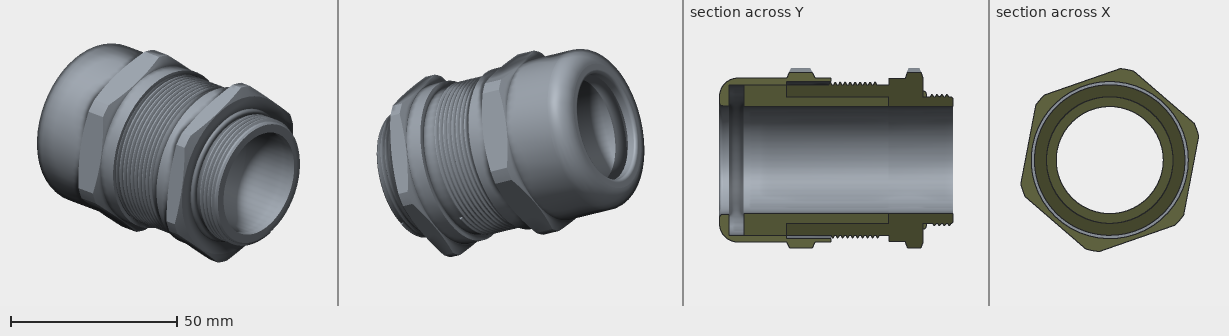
import cadquery as cq
import math


total_length = 70.35
bore_radius = 32.1 / 2

hex_across_flats = 50.0
hex_corner_radius = 27.8
hex_chamfer_base_radius = 24.75
hex_corner_tilt = 10.8

cap_radius = 49.5 / 2
cap_length = 33.7
cap_edge_radius = 5.6
cap_hex_start = 20.25
cap_hex_end = 28.85
cap_hex_chamfer = 1.4
lip_bore_radius = 32.6 / 2
lip_edge_radius = 1.05
lip_length = 3.0
cavity_radius = 45.15 / 2

insert_start = 7.3
insert_head_end = cap_hex_start
sleeve_radius = 38.3 / 2
sleeve_end = 51.0

thread_root_width = 1.05
thread_crest_width = 0.3
thread_embed = 0.2

cap_thread_core_radius = 45.45 / 2
cap_thread_crest_radius = 47.0 / 2
cap_thread_clearance = 0.1
cap_thread_start = 33.0
cap_thread_turns = 9.8
cap_thread_length = 14.7
thread_pitch = cap_thread_length / cap_thread_turns

collar_radius = 49.25 / 2
collar_start = sleeve_end
body_hex_start = 55.9
body_hex_end = 61.35
body_hex_chamfer = 1.05

entry_core_radius = 38.3 / 2
entry_crest_radius = 39.7 / 2
entry_thread_start = 63.6
entry_thread_turns = 3.8
entry_chamfer = 0.5

gasket_radius = 41.7 / 2
gasket_thickness = 1.0


def cylinder(start, end, radius):
    """Solid cylinder along X from start to end."""
    return cq.Workplane("YZ", origin=(start, 0, 0)).circle(radius).extrude(end - start)


def chamfered_hexagon(start, end, chamfer):
    """Hexagonal prism along X with turned corners and conical chamfers on both ends."""
    prism = (
        cq.Workplane("YZ", origin=(start, 0, 0))
        .polygon(6, hex_across_flats, circumscribed=True)
        .extrude(end - start)
        .rotate((0, 0, 0), (1, 0, 0), -hex_corner_tilt)
    )
    turned_profile = [
        (start, 0),
        (start, hex_chamfer_base_radius),
        (start + chamfer, hex_corner_radius),
        (end - chamfer, hex_corner_radius),
        (end, hex_chamfer_base_radius),
        (end, 0),
    ]
    turned = cq.Workplane("XY").polyline(turned_profile).close().revolve(360, (0, 0, 0), (1, 0, 0))
    return prism.intersect(turned)


def thread_ridge(start, turns, core_radius, crest_radius):
    """Right-handed helical ridge around X; its centre line starts on the +Y side."""
    root_radius = core_radius - thread_embed
    flank_slope = (thread_root_width - thread_crest_width) / 2 / (crest_radius - core_radius)
    root_half_width = thread_root_width / 2 + flank_slope * thread_embed
    crest_half_width = thread_crest_width / 2
    helix = cq.Wire.makeHelix(thread_pitch, thread_pitch * turns, root_radius)
    profile = [
        (root_radius, -root_half_width),
        (crest_radius, -crest_half_width),
        (crest_radius, crest_half_width),
        (root_radius, root_half_width),
    ]
    ridge = cq.Workplane("XZ").polyline(profile).close().sweep(cq.Workplane(helix), isFrenet=True)
    return ridge.rotate((0, 0, 0), (1, 1, 1), 120).translate((start, 0, 0))


def make_cap_nut():
    """Domed nut with a hexagon and a rounded lip at its mouth."""
    shell = cylinder(0, cap_length, cap_radius).faces("<X").edges().fillet(cap_edge_radius)
    nut = shell.union(chamfered_hexagon(cap_hex_start, cap_hex_end, cap_hex_chamfer))
    nut = nut.cut(cylinder(0, lip_length, lip_bore_radius))
    nut = nut.faces("<X").edges(cq.selectors.RadiusNthSelector(0)).fillet(lip_edge_radius)
    cavity = cylinder(lip_length, insert_head_end, cavity_radius)
    thread_bore = cylinder(insert_head_end, cap_length, cap_thread_crest_radius + cap_thread_clearance)
    return nut.cut(cavity).cut(thread_bore)


def make_insert():
    """Clamping insert: a head in the cap cavity and a sleeve inside the body."""
    head = cylinder(insert_start, insert_head_end, cavity_radius)
    sleeve = cylinder(insert_head_end, sleeve_end, sleeve_radius)
    return head.union(sleeve).cut(cylinder(insert_start, sleeve_end, bore_radius))


def make_body():
    """Gland body: two threaded ends with a collar and hexagon between them."""
    cap_end = cylinder(insert_head_end, collar_start, cap_thread_core_radius)
    collar = cylinder(collar_start, body_hex_start, collar_radius)
    hexagon = chamfered_hexagon(body_hex_start, body_hex_end, body_hex_chamfer)
    entry_end = cylinder(body_hex_end, total_length, entry_core_radius)
    entry_end = entry_end.faces(">X").edges().chamfer(entry_chamfer)
    cap_thread = thread_ridge(
        cap_thread_start, cap_thread_turns, cap_thread_core_radius, cap_thread_crest_radius
    )
    entry_thread = thread_ridge(
        entry_thread_start, entry_thread_turns, entry_core_radius, entry_crest_radius
    )
    sleeve_recess = cylinder(insert_head_end, sleeve_end, sleeve_radius)
    through_bore = cylinder(collar_start, total_length, bore_radius)
    cap_end = cap_end.cut(sleeve_recess).union(cap_thread)
    entry_end = entry_end.union(entry_thread)
    return cap_end.union(collar).union(hexagon).union(entry_end).cut(through_bore)


def make_gasket():
    """Ring against the hexagon with a quarter-round outer surface."""
    gasket_end = body_hex_end + gasket_thickness
    flat_radius = gasket_radius - gasket_thickness
    arc_offset = gasket_thickness * math.sin(math.radians(45))
    return (
        cq.Workplane("XY")
        .moveTo(body_hex_end, entry_core_radius)
        .lineTo(body_hex_end, gasket_radius)
        .threePointArc((body_hex_end + arc_offset, flat_radius + arc_offset), (gasket_end, flat_radius))
        .lineTo(gasket_end, entry_core_radius)
        .close()
        .revolve(360, (0, 0, 0), (1, 0, 0))
    )


cap_nut = make_cap_nut()
insert = make_insert()
body = make_body()
gasket = make_gasket()

result = cq.Compound.makeCompound(
    [cap_nut.solids().val(), insert.solids().val(), body.solids().val(), gasket.solids().val()]
)